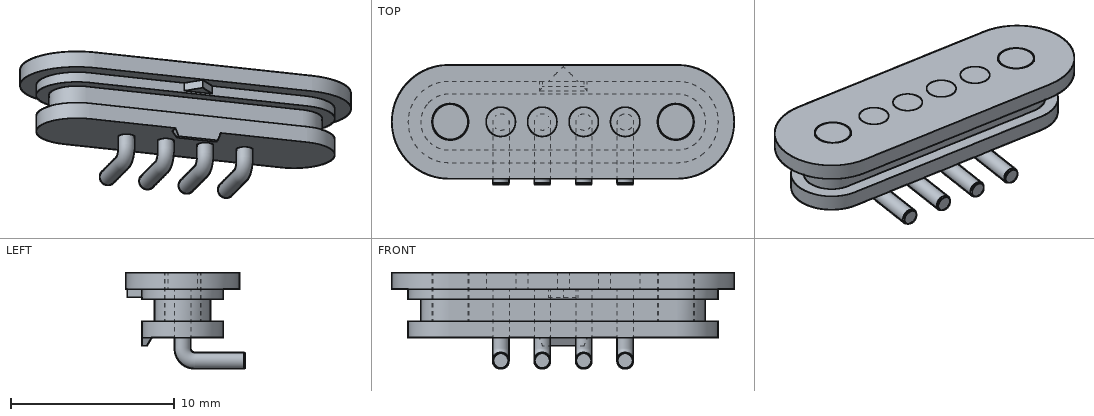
import cadquery as cq
import math

overall_length = 21.0
overall_depth = 7.35
flange_width = 7.0
step_width = 5.0
neck_width = 3.45
arc_centre_spacing = overall_length - flange_width

flange_height = 1.0
step_height = 0.63
neck_height = 1.35
base_height = 1.0
housing_height = flange_height + step_height + neck_height + base_height

key_tip_y = 3.4
key_height = 0.5
key_embed = 0.2
key_root_y = step_width / 2 - key_embed

tooth_length = 2.95
tooth_depth = 0.6
tooth_height = 0.5
tooth_front_run = 0.3
tooth_side_run = 0.2

pin_count = 4
pin_pitch = 2.55
pin_diameter = 1.0
head_diameter = 1.8
head_height = flange_height
bend_radius = 0.75
shank_below_base = 0.65
pin_tip_y = flange_width / 2 - overall_depth
tip_diameter = 0.9
tip_length = 0.1

magnet_spacing = 13.82
pocket_diameter = 2.25
magnet_diameter = 2.16
pocket_depth = housing_height - base_height

pin_positions = [((i - (pin_count - 1) / 2) * pin_pitch, 0) for i in range(pin_count)]
magnet_positions = [(side * magnet_spacing / 2, 0) for side in (-1, 1)]


def stadium_layer(width, height, top_z):
    """Stadium-shaped plate that hangs down from top_z."""
    return (
        cq.Workplane("XY", origin=(0, 0, top_z))
        .slot2D(arc_centre_spacing + width, width)
        .extrude(-height)
    )


def make_key():
    """Triangular key that hangs from the underside of the flange."""
    half_root = key_tip_y - key_root_y
    return (
        cq.Workplane("XY", origin=(0, 0, -flange_height))
        .polyline([(-half_root, key_root_y), (half_root, key_root_y), (0, key_tip_y)])
        .close()
        .extrude(-key_height)
    )


def make_tooth():
    """Tooth with a vertical +Y face and the other three sides sloping inwards."""
    back_y = step_width / 2
    return (
        cq.Workplane("XY", origin=(0, back_y - tooth_depth / 2, -housing_height))
        .rect(tooth_length, tooth_depth)
        .workplane(offset=-tooth_height)
        .center(0, tooth_front_run / 2)
        .rect(tooth_length - 2 * tooth_side_run, tooth_depth - tooth_front_run)
        .loft(ruled=True)
    )


def make_housing():
    """Layered housing with holes for the pins and pockets for the magnets."""
    body = stadium_layer(flange_width, flange_height, 0)
    top_z = -flange_height
    for width, height in (
        (step_width, step_height),
        (neck_width, neck_height),
        (step_width, base_height),
    ):
        body = body.union(stadium_layer(width, height, top_z))
        top_z -= height
    body = body.union(make_key()).union(make_tooth())

    top = cq.Workplane("XY")
    heads = top.pushPoints(pin_positions).circle(head_diameter / 2).extrude(-head_height)
    shanks = top.pushPoints(pin_positions).circle(pin_diameter / 2).extrude(-housing_height)
    pockets = top.pushPoints(magnet_positions).circle(pocket_diameter / 2).extrude(-pocket_depth)
    return body.cut(heads).cut(shanks).cut(pockets)


def make_pin():
    """Contact pin with its axis through the origin, bent by 90 degrees towards -Y."""
    bend_start_z = -housing_height - shank_below_base
    leg_z = bend_start_z - bend_radius
    bend_mid = bend_radius * (1 - math.sqrt(0.5))
    path = (
        cq.Workplane("YZ")
        .lineTo(0, bend_start_z)
        .threePointArc((-bend_mid, leg_z + bend_mid), (-bend_radius, leg_z))
        .lineTo(pin_tip_y + tip_length, leg_z)
    )
    wire = cq.Workplane("XY").circle(pin_diameter / 2).sweep(path)
    head = cq.Workplane("XY").circle(head_diameter / 2).extrude(-head_height)
    tip = (
        cq.Workplane("XZ", origin=(0, pin_tip_y + tip_length, leg_z))
        .circle(pin_diameter / 2)
        .workplane(offset=tip_length)
        .circle(tip_diameter / 2)
        .loft()
    )
    return wire.union(head).union(tip)


def make_magnet():
    """Cylindrical magnet, flush with the top of the housing."""
    return cq.Workplane("XY").circle(magnet_diameter / 2).extrude(-pocket_depth)


housing = make_housing()
pins = [make_pin().translate((x, y, 0)) for x, y in pin_positions]
magnets = [make_magnet().translate((x, y, 0)) for x, y in magnet_positions]

result = cq.Compound.makeCompound(
    [
        housing.val(),
        *[pin.val() for pin in pins],
        *[magnet.val() for magnet in magnets],
    ]
)